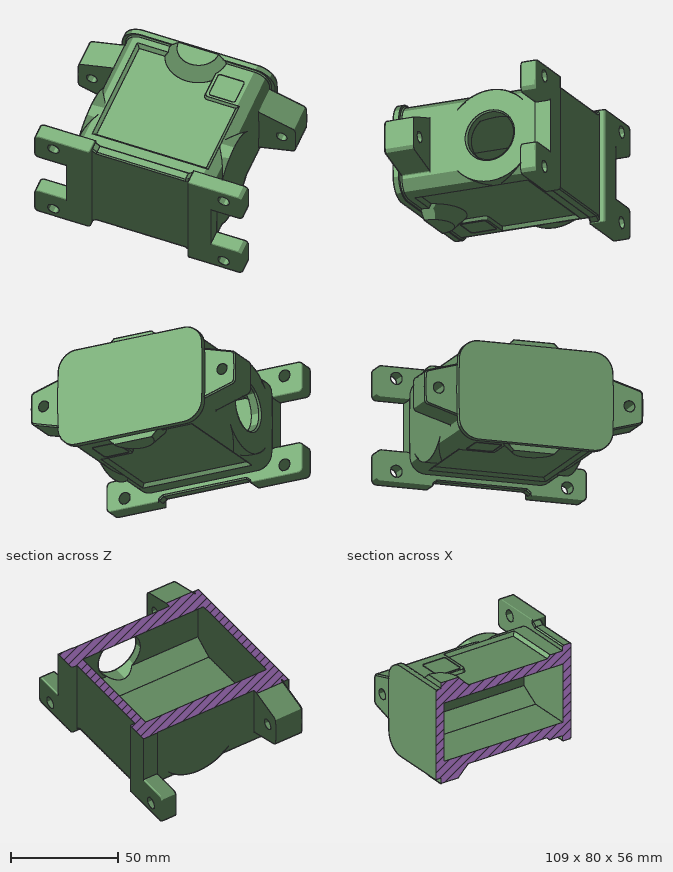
import cadquery as cq
import math


FOOT_DEPTH = 8.0
PLATE_FRONT = 2.8
FLANGE_FRONT = 77.2
TOTAL_DEPTH = 80.0
FLARE = 0.7

BODY_HALF_WIDTH = 36.2
BODY_HALF_HEIGHT = 22.6
BODY_CORNER = 7.6
FLANGE_HALF_WIDTH = 38.6
FLANGE_HALF_HEIGHT = 23.8
FLANGE_CORNER = 9.6
SIDE_DRAFT = 1.3

FOOT_INNER_X = 24.4
FOOT_OUTER_X = 52.2
FOOT_HALF_HEIGHT = 28.0
FOOT_NOTCH_HALF_HEIGHT = 12.6
FOOT_CORNER = 2.4
FOOT_EDGE = 0.5
FOOT_INNER_EDGE = 1.0
FOOT_HOLE_X = 42.6
FOOT_HOLE_Z = 22.5
FOOT_HOLE_DIAMETER = 5.8

PLATE_HALF_HEIGHT = 25.4
PLATE_SHOULDER_START_X = 22.1
PLATE_SHOULDER_HEIGHT = 1.7
PLATE_EDGE = 0.7

EAR_TIP_X = 54.5
EAR_ROOT_HALF_HEIGHT = 13.2
EAR_TIP_HALF_HEIGHT = 7.8
EAR_CORNER = 2.3
EAR_ROOT_FILLET = 0.5
EAR_BACKING = 1.1
EAR_FRONT = 62.0
EAR_EDGE = 0.7
EAR_HOLE_X = 47.5
EAR_HOLE_DIAMETER = 5.3

BOSS_TOP_RADIUS = 10.0
BOSS_TOP_Z = 26.7

PANEL_DEPTH = 1.6
PANEL_HALF_WIDTH = 29.1
PANEL_START_Y = 14.9
PANEL_END_Y = 73
PAD_INNER_X = 11.1
PAD_START_Y = 54.5
PAD_CORNER = 2.2
PAD_DRAFT = 20
LABEL_X = 19.6
LABEL_Y = 63.0
LABEL_SIZE = 13.1
LABEL_CORNER = 1.1
LABEL_DEPTH = 0.2

PORT_Y = 31.2
PORT_RADIUS = 11.8
PORT_MOUTH_RADIUS = 12.8
PORT_CHAMFER = PORT_MOUTH_RADIUS - PORT_RADIUS

WALL = 4.9
CAVITY_HALF_WIDTH = BODY_HALF_WIDTH - WALL
CAVITY_HALF_HEIGHT = 15.3
CAVITY_WALL_HALF_HEIGHT = 9.5
CAVITY_SLOPE_WIDTH = 9.4
CAVITY_START_Y = PLATE_FRONT + WALL
CAVITY_END_Y = TOTAL_DEPTH - WALL


def section_plane(y):
    """Plane across the part at the given Y; negative extrusions run toward +Y."""
    return cq.Workplane("XZ", origin=(0, y, 0))


def both_sides(shape, plane):
    """The shape joined with its mirror image."""
    return shape.union(shape.mirror(plane))


def drafted_x(half_width, z):
    """X of a drafted side at height z, given its X at the parting plane."""
    return half_width - abs(z) * math.tan(math.radians(SIDE_DRAFT))


def drafted_section(half_width, half_height, start_y, end_y):
    """Prism along Y whose sides lean inward away from the parting plane."""
    end_half_width = drafted_x(half_width, half_height)
    outline = [
        (half_width, 0),
        (end_half_width, half_height),
        (-end_half_width, half_height),
        (-half_width, 0),
        (-end_half_width, -half_height),
        (end_half_width, -half_height),
    ]
    return section_plane(start_y).polyline(outline).close().extrude(start_y - end_y)


def rounded_section(half_width, half_height, corner, start_y, end_y):
    """Drafted prism with its four long corners rounded."""
    prism = drafted_section(half_width, half_height, start_y, end_y)
    return prism.edges("|Y and (>Z or <Z)").fillet(corner)


def make_body():
    """Main block with its flare, its flange and the round side faces around the port axis."""
    flare_start = FLANGE_FRONT - FLARE
    body = rounded_section(
        BODY_HALF_WIDTH, BODY_HALF_HEIGHT, BODY_CORNER, PLATE_FRONT + PLATE_EDGE, flare_start
    )
    flare = rounded_section(
        BODY_HALF_WIDTH + FLARE, BODY_HALF_HEIGHT + FLARE, BODY_CORNER + FLARE, flare_start, TOTAL_DEPTH
    ).faces("<Y").chamfer(FLARE)
    flange = rounded_section(
        FLANGE_HALF_WIDTH, FLANGE_HALF_HEIGHT, FLANGE_CORNER, FLANGE_FRONT, TOTAL_DEPTH
    )
    side_faces = (
        cq.Workplane("YZ", origin=(-BODY_HALF_WIDTH, PORT_Y, 0))
        .circle(BODY_HALF_HEIGHT)
        .extrude(2 * BODY_HALF_WIDTH)
        .intersect(drafted_section(BODY_HALF_WIDTH, BODY_HALF_HEIGHT, FOOT_DEPTH, FLANGE_FRONT))
    )
    return body.union(side_faces).union(flange).union(flare)


def make_foot_pair():
    """U-shaped foot on the +X side with rounded edges around its two arms."""
    outline = [
        (FOOT_INNER_X, -FOOT_HALF_HEIGHT),
        (FOOT_OUTER_X, -FOOT_HALF_HEIGHT),
        (FOOT_OUTER_X, -FOOT_NOTCH_HALF_HEIGHT),
        (BODY_HALF_WIDTH, -FOOT_NOTCH_HALF_HEIGHT),
        (BODY_HALF_WIDTH, FOOT_NOTCH_HALF_HEIGHT),
        (FOOT_OUTER_X, FOOT_NOTCH_HALF_HEIGHT),
        (FOOT_OUTER_X, FOOT_HALF_HEIGHT),
        (FOOT_INNER_X, FOOT_HALF_HEIGHT),
    ]
    foot = section_plane(0).polyline(outline).close().extrude(-FOOT_DEPTH)
    foot = foot.edges("|Y and >X").fillet(FOOT_CORNER)
    foot = foot.faces("<Y").edges("<X").fillet(FOOT_INNER_EDGE)
    return foot.faces("<Y or >Y").edges("|X").fillet(FOOT_EDGE)


def make_foot_holes():
    """Cutters for the four screw holes of the feet."""
    centres = [(sx * FOOT_HOLE_X, sz * FOOT_HOLE_Z) for sx in (-1, 1) for sz in (-1, 1)]
    return section_plane(0).pushPoints(centres).circle(FOOT_HOLE_DIAMETER / 2).extrude(-FOOT_DEPTH)


def make_plate():
    """Plate closing the front between the feet."""
    shoulder_height = PLATE_HALF_HEIGHT + PLATE_SHOULDER_HEIGHT
    foot_overlap_x = FOOT_INNER_X + FOOT_INNER_EDGE
    top = [
        (-foot_overlap_x, shoulder_height),
        (-FOOT_INNER_X, shoulder_height),
        (-PLATE_SHOULDER_START_X, PLATE_HALF_HEIGHT),
        (PLATE_SHOULDER_START_X, PLATE_HALF_HEIGHT),
        (FOOT_INNER_X, shoulder_height),
        (foot_overlap_x, shoulder_height),
    ]
    bottom = [(x, -z) for x, z in reversed(top)]
    plate = section_plane(PLATE_FRONT).polyline(top + bottom).close().extrude(PLATE_FRONT - FOOT_DEPTH)
    return plate.faces("<Y or >Y").chamfer(PLATE_EDGE)


def make_ear():
    """Tapering ear on the +X side, with small fillets where it leaves the body."""
    backing_half_height = EAR_ROOT_HALF_HEIGHT + EAR_BACKING
    upper_side = [
        (drafted_x(EAR_TIP_X, EAR_TIP_HALF_HEIGHT), EAR_TIP_HALF_HEIGHT),
        (drafted_x(BODY_HALF_WIDTH, EAR_ROOT_HALF_HEIGHT), EAR_ROOT_HALF_HEIGHT),
        (drafted_x(BODY_HALF_WIDTH, backing_half_height), backing_half_height),
        (BODY_HALF_WIDTH - WALL / 2, backing_half_height),
    ]
    lower_side = [(x, -z) for x, z in reversed(upper_side)]
    outline = section_plane(EAR_FRONT).polyline([(EAR_TIP_X, 0)] + upper_side + lower_side).close()
    ear = outline.extrude(EAR_FRONT - FLANGE_FRONT)
    ear = ear.edges("|Y and >>X[-5]").fillet(EAR_ROOT_FILLET)
    ear = ear.edges("|Y and >>X[-3]").fillet(EAR_CORNER)
    ear = ear.faces(">Y").chamfer(EAR_EDGE)
    hole = section_plane(EAR_FRONT).center(EAR_HOLE_X, 0).circle(EAR_HOLE_DIAMETER / 2)
    return ear.cut(hole.extrude(EAR_FRONT - FLANGE_FRONT))


def make_boss():
    """45 degree half cone standing on the upper panel, cut off flat at the flange."""
    floor_z = BODY_HALF_HEIGHT - PANEL_DEPTH
    base_radius = BOSS_TOP_RADIUS + BOSS_TOP_Z - floor_z
    profile = [(0, floor_z), (base_radius, floor_z), (BOSS_TOP_RADIUS, BOSS_TOP_Z), (0, BOSS_TOP_Z)]
    return (
        section_plane(FLANGE_FRONT)
        .polyline(profile)
        .close()
        .revolve(180, (0, 0, 0), (0, -1, 0))
    )


def make_panel_recess():
    """Cutter for the upper panel, leaving the label pad with its shallow label seat."""
    floor_z = BODY_HALF_HEIGHT - PANEL_DEPTH
    panel_middle_y = (PANEL_START_Y + PANEL_END_Y) / 2
    recess = (
        cq.Workplane("XY", origin=(0, panel_middle_y, BODY_HALF_HEIGHT))
        .rect(2 * PANEL_HALF_WIDTH, PANEL_END_Y - PANEL_START_Y)
        .extrude(-PANEL_DEPTH, taper=45)
    )
    pad_width = FLANGE_HALF_WIDTH - PAD_INNER_X
    pad_length = TOTAL_DEPTH - PAD_START_Y
    pad = (
        cq.Workplane("XY", origin=(PAD_INNER_X + pad_width / 2, PAD_START_Y + pad_length / 2, floor_z))
        .sketch()
        .rect(pad_width, pad_length)
        .vertices()
        .fillet(PAD_CORNER)
        .finalize()
        .extrude(PANEL_DEPTH, taper=PAD_DRAFT)
    )
    label = (
        cq.Workplane("XY", origin=(LABEL_X, LABEL_Y, BODY_HALF_HEIGHT))
        .rect(LABEL_SIZE, LABEL_SIZE)
        .extrude(-LABEL_DEPTH)
        .edges("|Z")
        .fillet(LABEL_CORNER)
    )
    return recess.cut(pad).union(label)


def make_cavity():
    """Hollow inside of the housing."""
    floor_half_width = CAVITY_HALF_WIDTH - CAVITY_SLOPE_WIDTH
    right_side = [
        (floor_half_width, -CAVITY_HALF_HEIGHT),
        (CAVITY_HALF_WIDTH, -CAVITY_WALL_HALF_HEIGHT),
        (CAVITY_HALF_WIDTH, CAVITY_WALL_HALF_HEIGHT),
        (floor_half_width, CAVITY_HALF_HEIGHT),
    ]
    left_side = [(-x, -z) for x, z in right_side]
    outline = section_plane(CAVITY_START_Y).polyline(right_side + left_side).close()
    return outline.extrude(CAVITY_START_Y - CAVITY_END_Y)


def make_port():
    """Bore with a chamfered mouth through the -X wall into the cavity."""
    profile = [
        (-BODY_HALF_WIDTH, 0),
        (-BODY_HALF_WIDTH, -PORT_MOUTH_RADIUS),
        (-BODY_HALF_WIDTH + PORT_CHAMFER, -PORT_RADIUS),
        (-CAVITY_HALF_WIDTH + CAVITY_SLOPE_WIDTH, -PORT_RADIUS),
        (-CAVITY_HALF_WIDTH + CAVITY_SLOPE_WIDTH, 0),
    ]
    return section_plane(PORT_Y).polyline(profile).close().revolve(360, (0, 0, 0), (1, 0, 0))


result = make_body()
result = result.cut(both_sides(make_panel_recess(), "XY"))
result = result.union(both_sides(make_boss(), "XY"))
result = result.union(both_sides(make_ear(), "YZ"))
result = result.union(make_plate())
result = result.union(both_sides(make_foot_pair(), "YZ"))
result = result.cut(make_foot_holes())
result = result.cut(make_cavity())
result = result.cut(make_port())